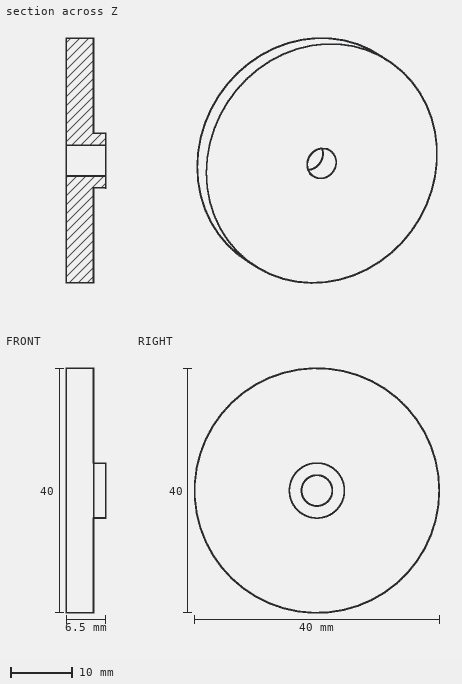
import cadquery as cq

disc_diameter = 40.0
disc_thickness = 4.5
hub_diameter = 9.0
hub_height = 2.0
bore_diameter = 5.0


def make_disc():
    """Flat round disc with its axis along X, starting at X = 0."""
    return cq.Workplane("YZ").circle(disc_diameter / 2).extrude(disc_thickness)


def add_hub(body):
    """Short round hub standing on the +X face of the disc."""
    return body.faces(">X").workplane().circle(hub_diameter / 2).extrude(hub_height)


def cut_bore(body):
    """Central bore through both the hub and the disc."""
    return body.faces(">X").workplane().hole(bore_diameter)


result = cut_bore(add_hub(make_disc()))